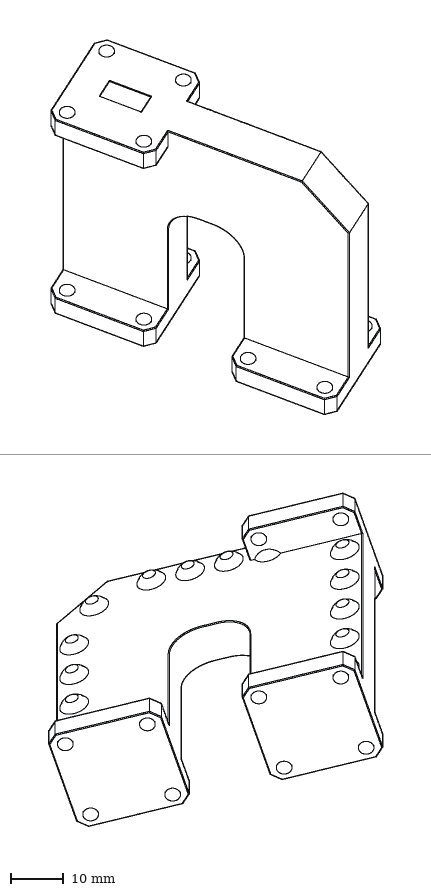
import cadquery as cq
import math

length = 60.7
height = 57.15

flange_side = 22.3
flange_thickness = 4.75
flange_corner = 1.8
bolt_diameter = 3.0
bolt_pitch_x = 16.25
bolt_pitch_y = 17.0

port_length = 8.85
port_width = 4.35
port_depth = 0.3

plate_thickness = 8.45
plate_corner = 10.0
slot_height = 34.45
slot_corner_radius = 6.5

edge_bevel = 0.2
tolerance = 0.0005

head_radius = 2.85
head_top_radius = 1.3
head_height = 1.6
dome_bulge = 0.1
head_inset = 3.5
column_start = 8.85
column_pitch = 9.8
left_column_count = 5
right_column_count = 4
top_row_count = 4

left_flange_x = flange_side / 2
right_flange_x = length - flange_side / 2
slot_width = length - 2 * flange_side
upper_flange_z = height - flange_thickness
back_face_y = plate_thickness / 2


def make_flange(center_x, bottom_z):
    """Flange with cut corners and no bolt holes yet."""
    return (
        cq.Workplane("XY", origin=(center_x, 0, bottom_z))
        .rect(flange_side, flange_side)
        .extrude(flange_thickness)
        .edges("|Z")
        .chamfer(flange_corner)
    )


def needs_bevel(edge):
    """True for the rims of the flanges and of the plate faces, but not for inner corners."""
    box = edge.BoundingBox()

    def level_at(z):
        return box.zlen < tolerance and abs(box.zmin - z) < tolerance

    on_inner_flange_face = level_at(flange_thickness) or level_at(upper_flange_z)
    on_outer_flange_face = level_at(0) or level_at(height)
    on_plate_face = box.ylen < tolerance and abs(abs(box.ymin) - back_face_y) < tolerance
    if on_plate_face:
        along_flange_side = box.xlen < tolerance and abs(box.xmin - flange_side) < tolerance
        meets_flange_side = along_flange_side and box.zmin > upper_flange_z - tolerance
        return not (on_inner_flange_face or meets_flange_side)

    on_cut_corner = level_at(height) and abs(box.xmin - (length - plate_corner)) < tolerance
    return (on_inner_flange_face or on_outer_flange_face) and not on_cut_corner


def bevel_outer_edges(body):
    """Break the outer edges chosen by needs_bevel."""
    rims = [edge for edge in body.edges().vals() if needs_bevel(edge)]
    return body.newObject(rims).chamfer(edge_bevel)


def drill_bolt_holes(body, center_x):
    """Four bolt holes through every flange stacked at this X."""
    return body.cut(
        cq.Workplane("XY", origin=(center_x, 0, 0))
        .rect(bolt_pitch_x, bolt_pitch_y, forConstruction=True)
        .vertices()
        .circle(bolt_diameter / 2)
        .extrude(height)
    )


def make_plate():
    """Body plate with one cut corner and a round-cornered slot open at the bottom."""
    plate = (
        cq.Workplane("XY")
        .box(length, plate_thickness, height, centered=(False, True, False))
        .edges("|Y and >X and >Z")
        .chamfer(plate_corner)
    )
    slot = (
        cq.Workplane("XY", origin=(length / 2, 0, 0))
        .box(slot_width, plate_thickness, slot_height, centered=(True, True, False))
        .edges("|Y and >Z")
        .fillet(slot_corner_radius)
    )
    return plate.cut(slot)


def make_screw_head(x, z):
    """Domed head with a flat top standing on the back face."""
    mid_radius = (head_radius + head_top_radius) / 2 + dome_bulge
    mid_height = head_height / 2 + dome_bulge
    return (
        cq.Workplane("XY", origin=(x, back_face_y, z))
        .lineTo(head_radius, 0)
        .threePointArc((mid_radius, mid_height), (head_top_radius, head_height))
        .lineTo(0, head_height)
        .close()
        .revolve(360, (0, 0, 0), (0, 1, 0))
    )


def screw_positions():
    """Screw centres (x, z) running inside the outer edge of the plate."""
    left_column = [(head_inset, column_start + i * column_pitch) for i in range(left_column_count)]
    right_column = [(length - head_inset, column_start + i * column_pitch) for i in range(right_column_count)]

    row_start = flange_side - head_inset
    row_pitch = (length - 2 * row_start) / (top_row_count - 1)
    top_row = [(row_start + i * row_pitch, height - head_inset) for i in range(top_row_count)]

    corner_inset = plate_corner / 2 + head_inset / math.sqrt(2)
    corner = [(length - corner_inset, height - corner_inset)]
    return left_column + right_column + top_row + corner


port = cq.Workplane("XY", origin=(left_flange_x, 0, height - port_depth)).box(
    port_length, port_width, port_depth, centered=(True, True, False)
)

result = make_plate()
result = result.union(make_flange(left_flange_x, 0))
result = result.union(make_flange(right_flange_x, 0))
result = result.union(make_flange(left_flange_x, upper_flange_z))
result = bevel_outer_edges(result)
for flange_x in (left_flange_x, right_flange_x):
    result = drill_bolt_holes(result, flange_x)
for screw_x, screw_z in screw_positions():
    result = result.union(make_screw_head(screw_x, screw_z))
result = result.cut(port)